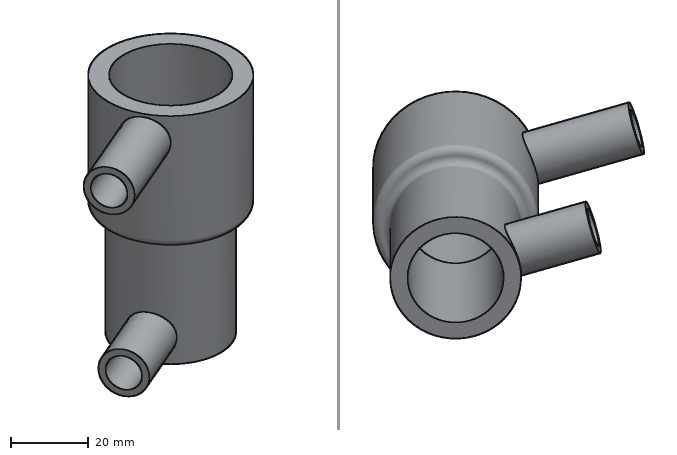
import cadquery as cq

height = 77.0
upper_radius = 21.5
lower_radius = 17.0
upper_bore_radius = 16.0
lower_bore_radius = 12.5
shoulder_z = 37.5
outer_round = 2.15
inner_round = 1.7
floor_thickness = upper_radius - upper_bore_radius
bore_step_z = shoulder_z + floor_thickness

tube_radius = 7.0
tube_bore_radius = 5.0
tube_end_inset = 8.0
upper_tube_reach = 49.05
lower_tube_reach = 37.35


def stepped_cylinder(lower_r, upper_r, step_z, round_r):
    """Cylinder widening upward at step_z, with both corners of the step rounded."""
    profile = (
        cq.Workplane("XZ")
        .lineTo(lower_r, 0)
        .lineTo(lower_r, step_z - round_r)
        .radiusArc((lower_r + round_r, step_z), round_r)
        .lineTo(upper_r - round_r, step_z)
        .radiusArc((upper_r, step_z + round_r), -round_r)
        .lineTo(upper_r, height)
        .lineTo(0, height)
        .close()
    )
    return profile.revolve(360, (0, 0, 0), (0, 1, 0))


def side_cylinder(radius, reach, center_z):
    """Cylinder from the body axis out to Y = -reach."""
    return cq.Workplane("XZ").center(0, center_z).circle(radius).extrude(reach)


tubes = [
    (tube_end_inset, lower_tube_reach),
    (height - tube_end_inset, upper_tube_reach),
]

result = stepped_cylinder(lower_radius, upper_radius, shoulder_z, outer_round)
for center_z, reach in tubes:
    outer = side_cylinder(tube_radius, reach, center_z)
    bore = side_cylinder(tube_bore_radius, reach, center_z)
    result = result.union(outer.cut(bore))

main_bore = stepped_cylinder(lower_bore_radius, upper_bore_radius, bore_step_z, inner_round)
result = result.cut(main_bore)